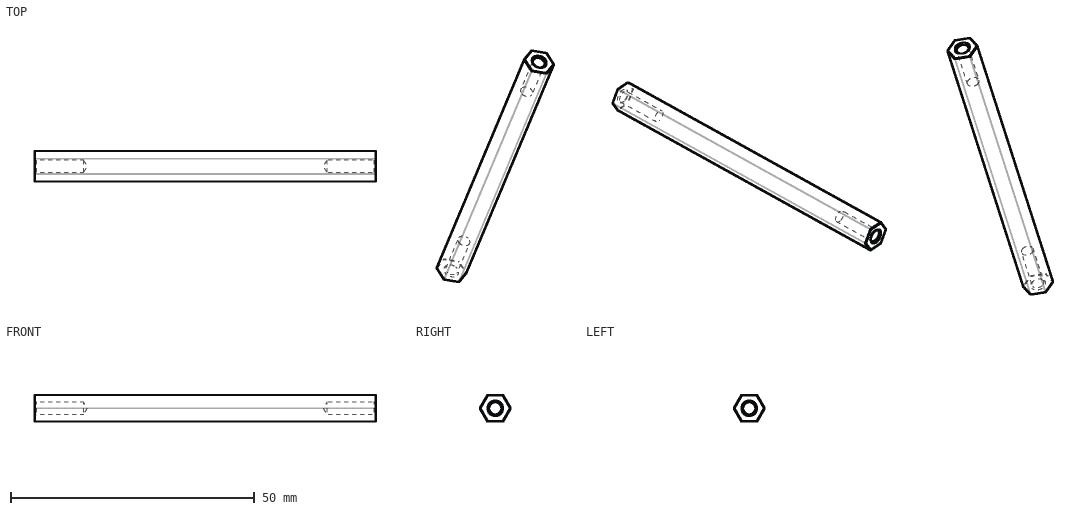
import cadquery as cq
import math

length = 70
across_corners = 6.4
edge_fillet = 0.175
end_chamfer = 0.105

hole_diameter = 2.5
mouth_diameter = 3.15
hole_depth = 10.0
drill_point_angle = 118

hole_radius = hole_diameter / 2
mouth_radius = mouth_diameter / 2
countersink_depth = mouth_radius - hole_radius
drill_point_length = hole_radius / math.tan(math.radians(drill_point_angle / 2))


def revolve_about_x(points):
    """Turn a profile of (x, radius) points around the X axis."""
    return cq.Workplane("XY").polyline(points).close().revolve(360, (0, 0), (1, 0))


def hex_bar():
    """Hexagonal bar with rounded long edges, bevelled ends and flats facing +Z and -Z."""
    bar = cq.Workplane("YZ").polygon(6, across_corners).extrude(length)
    bar = bar.edges("|X").fillet(edge_fillet)
    return bar.faces("<X or >X").chamfer(end_chamfer)


def blind_hole():
    """Countersunk drilled hole entering from the end at X = 0."""
    return revolve_about_x([
        (0, 0),
        (0, mouth_radius),
        (countersink_depth, hole_radius),
        (hole_depth, hole_radius),
        (hole_depth + drill_point_length, 0),
    ])


near_hole = blind_hole()
far_hole = near_hole.mirror("YZ", (length / 2, 0, 0))
result = hex_bar().cut(near_hole).cut(far_hole)